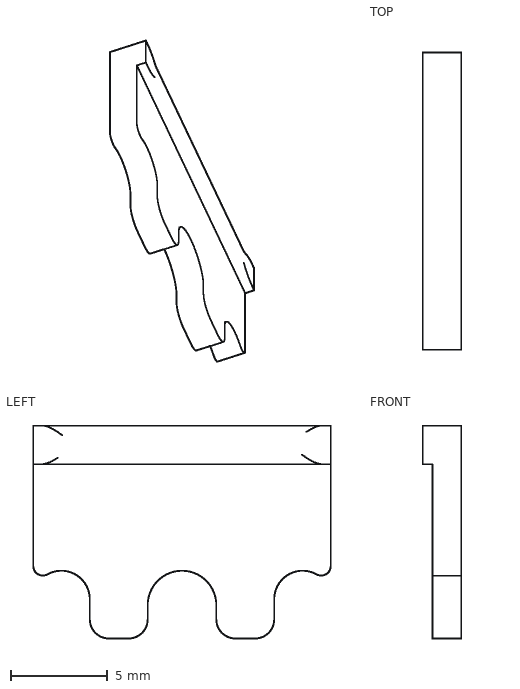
import cadquery as cq
import math

length = 15.36
height = 11.0
lip_thickness = 2.0
plate_thickness = 1.5
lip_height = 2.0

centre_arch_radius = 1.765
side_arch_radius = 1.46
tab_width = 3.0
arch_top = 3.5
foot_radius = 1.0
corner_radius = 0.5

edge_radius = 0.5
runout_radius = 1.5

half_length = length / 2
front_recess = lip_thickness - plate_thickness
lip_bottom = height - lip_height
runout_y = half_length - runout_radius

tab_inner = centre_arch_radius
tab_outer = tab_inner + tab_width
side_arch_y = tab_outer + side_arch_radius
side_arch_z = arch_top - side_arch_radius
centre_arch_z = arch_top - centre_arch_radius

corner_y = half_length - corner_radius
corner_angle = math.acos((corner_y - side_arch_y) / (side_arch_radius + corner_radius))
corner_z = side_arch_z + (side_arch_radius + corner_radius) * math.sin(corner_angle)


def on_circle(centre_y, centre_z, radius, angle):
    """Point (Y, Z) on a circle, with the angle in radians from +Y towards +Z."""
    return (centre_y + radius * math.cos(angle), centre_z + radius * math.sin(angle))


def make_half_plate():
    """The +Y half of the plate, from the middle plane to the end face."""
    corner_mid_angle = (corner_angle - math.pi) / 2
    arch_mid_angle = (corner_angle + math.pi) / 2
    return (
        cq.Workplane("YZ", origin=(front_recess, 0, 0))
        .moveTo(0, height)
        .lineTo(half_length, height)
        .lineTo(half_length, corner_z)
        .threePointArc(
            on_circle(corner_y, corner_z, corner_radius, corner_mid_angle),
            on_circle(side_arch_y, side_arch_z, side_arch_radius, corner_angle),
        )
        .threePointArc(
            on_circle(side_arch_y, side_arch_z, side_arch_radius, arch_mid_angle),
            (tab_outer, side_arch_z),
        )
        .lineTo(tab_outer, foot_radius)
        .threePointArc(
            on_circle(tab_outer - foot_radius, foot_radius, foot_radius, -math.pi / 4),
            (tab_outer - foot_radius, 0),
        )
        .lineTo(tab_inner + foot_radius, 0)
        .threePointArc(
            on_circle(tab_inner + foot_radius, foot_radius, foot_radius, -3 * math.pi / 4),
            (tab_inner, foot_radius),
        )
        .lineTo(tab_inner, centre_arch_z)
        .threePointArc(
            on_circle(0, centre_arch_z, centre_arch_radius, math.pi / 4),
            (0, arch_top),
        )
        .close()
        .extrude(plate_thickness)
    )


def make_lip():
    """Bar along the top that stands proud of the front of the plate."""
    return cq.Workplane("XY", origin=(0, 0, lip_bottom)).box(
        lip_thickness, length, lip_height, centered=(False, True, False)
    )


def edge_profile(y):
    """Waste outside the rounded upper edge, in the XZ plane at the given Y."""
    arc_offset = edge_radius * (1 - math.sqrt(0.5))
    return (
        cq.Workplane("XZ", origin=(0, y, 0))
        .moveTo(0, height)
        .lineTo(edge_radius, height)
        .threePointArc((arc_offset, height - arc_offset), (0, height - edge_radius))
        .close()
    )


def make_edge_cutter():
    """Straight rounding of the upper edge, swept round a vertical axis at both ends."""
    axis_x = edge_radius - runout_radius
    cutter = edge_profile(runout_y).extrude(2 * runout_y)
    for y in (-runout_y, runout_y):
        runout = edge_profile(y).revolve(360, (axis_x, 0, 0), (axis_x, 1, 0))
        cutter = cutter.union(runout)
    return cutter


half_plate = make_half_plate()
upper_cutter = make_edge_cutter()
lower_cutter = upper_cutter.mirror("XY", (0, 0, height - lip_height / 2))

result = (
    half_plate.union(half_plate.mirror("XZ"))
    .union(make_lip())
    .clean()
    .cut(upper_cutter)
    .cut(lower_cutter)
)